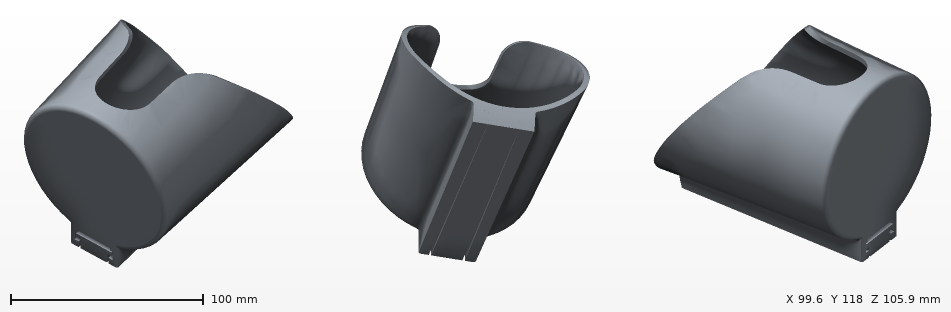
import cadquery as cq

length = 118.0
cup_front_radius = 46.5
cup_back_radius = 50.4
wall = 3.0
floor = 3.0
front_rounding = 3.0

block_front_half_width = 15.3
block_back_half_width = 16.5
block_front_bottom = -58.2
block_back_bottom = -59.0
block_top = -38.9
block_chamfer = 1.0
neck_fillet = 2.4

mouth_top = (50.7, 53.6)
mouth_upper_middle = (93.3, 8.4)
mouth_joint = (112.7, -22.4)
mouth_lower_middle = (117.9, -40.7)
mouth_bottom = (115.9, -59.0)
mouth_margin = 5.9

finger_slot_end = 12.0
finger_slot_radius = 16.2
finger_slot_mouth_half_width = 19.4
finger_slot_mouth = 115.6
finger_slot_fillet = 10.6

slider_head_half_width = 11.5
slider_stem_half_width = 8.4
slider_top = -48.6
slider_head_bottom = -51.6

slot_head_half_width = 12.3
slot_stem_half_width = 9.7
slot_top = -47.7
slot_head_bottom = -53.8
relief_front_half_width = 10.6
relief_back_half_width = 9.3
relief_top = -46.0
relief_root = -49.6
below_block = -64.9


def loft_along_y(front_points, back_points):
    """Ruled solid between an (x, z) outline at y = 0 and one at y = length."""
    front = cq.Wire.makePolygon([cq.Vector(x, 0, z) for x, z in front_points], close=True)
    back = cq.Wire.makePolygon([cq.Vector(x, length, z) for x, z in back_points], close=True)
    return cq.Workplane(cq.Solid.makeLoft([front, back], True))


def rectangle(half_width, bottom, top):
    return [(-half_width, bottom), (half_width, bottom), (half_width, top), (-half_width, top)]


def tee(head_half, stem_half, top, head_bottom, bottom):
    right = [(stem_half, bottom), (stem_half, head_bottom), (head_half, head_bottom), (head_half, top)]
    left = [(-x, z) for x, z in reversed(right)]
    return right + left


def slider_profile(bottom):
    return tee(slider_head_half_width, slider_stem_half_width, slider_top, slider_head_bottom, bottom)


def cone(front_radius, back_radius):
    """Solid cone frustum around the Y axis, as long as the part."""
    profile = [(0, 0), (front_radius, 0), (back_radius, length), (0, length)]
    return cq.Workplane("XY").polyline(profile).close().revolve(360, (0, 0), (0, 1))


def make_outer_body():
    """Cup and block joined by filleted necks, with a rounded cup edge and chamfered block edges."""
    cup = cone(cup_front_radius, cup_back_radius)
    block = loft_along_y(
        rectangle(block_front_half_width, block_front_bottom, block_top),
        rectangle(block_back_half_width, block_back_bottom, block_top),
    )
    neck_edges = cq.selectors.BoxSelector(
        (-block_back_half_width, length / 4, block_back_bottom),
        (block_back_half_width, length * 3 / 4, block_top),
    )
    body = cup.union(block).edges(neck_edges).fillet(neck_fillet)
    rounded_edges = cq.selectors.BoxSelector(
        (-cup_front_radius, -front_rounding, block_front_bottom + front_rounding),
        (cup_front_radius, front_rounding, cup_front_radius),
    )
    body = body.faces("<Y").edges(rounded_edges).fillet(front_rounding)
    return body.union(block.faces("<Y").edges("not |X").chamfer(block_chamfer))


def make_cavity():
    cavity = cone(cup_front_radius - wall, cup_back_radius - wall)
    floor_blank = cq.Workplane("XZ").circle(cup_back_radius).extrude(-floor)
    return cavity.cut(floor_blank)


def make_mouth_cutter():
    """Everything behind the slanted rim."""
    return (
        cq.Workplane("YZ")
        .moveTo(*mouth_top)
        .threePointArc(mouth_upper_middle, mouth_joint)
        .threePointArc(mouth_lower_middle, mouth_bottom)
        .lineTo(mouth_bottom[0], below_block)
        .lineTo(length + mouth_margin, below_block)
        .lineTo(length + mouth_margin, mouth_top[1])
        .close()
        .extrude(cup_back_radius + mouth_margin, both=True)
    )


def make_finger_slot():
    """Upright cutter with a round end and slightly spreading sides."""
    round_center = finger_slot_end + finger_slot_radius
    return (
        cq.Workplane("XY")
        .moveTo(-finger_slot_mouth_half_width, finger_slot_mouth)
        .lineTo(-finger_slot_radius, round_center)
        .threePointArc((0, finger_slot_end), (finger_slot_radius, round_center))
        .lineTo(finger_slot_mouth_half_width, finger_slot_mouth)
        .close()
        .extrude(mouth_top[1])
    )


def make_t_slot():
    channel = loft_along_y(
        tee(slot_head_half_width, slot_stem_half_width, slot_top, slot_head_bottom, below_block),
        slider_profile(below_block),
    )
    relief = loft_along_y(
        rectangle(relief_front_half_width, relief_root, relief_top),
        rectangle(relief_back_half_width, relief_root, slider_top),
    )
    return channel.union(relief)


def make_opening():
    """Mouth and finger slot as one cutter, with the corners between them rounded."""
    opening = make_mouth_cutter().union(make_finger_slot()).clean()
    corners = cq.selectors.BoxSelector(
        (-finger_slot_mouth_half_width, mouth_top[0], wall),
        (finger_slot_mouth_half_width, mouth_joint[0], mouth_top[1]),
    )
    return opening.edges(corners).edges("not |X").fillet(finger_slot_fillet)


def make_holder():
    return make_outer_body().cut(make_cavity()).cut(make_opening()).cut(make_t_slot())


def make_slider():
    slider = loft_along_y(slider_profile(block_front_bottom), slider_profile(block_back_bottom))
    return slider.cut(make_mouth_cutter())


holder = make_holder()
slider = make_slider()
result = cq.Compound.makeCompound([holder.val(), slider.val()])